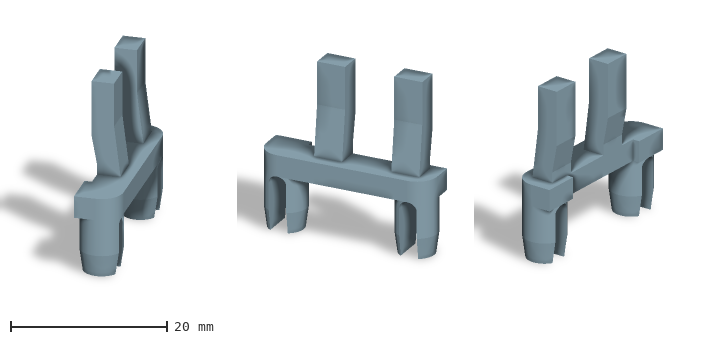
import cadquery as cq

bar_length = 24.4
bar_width = 5.8
bar_bottom = 8.0
bar_height = 3.0
bar_top = bar_bottom + bar_height
end_radius = bar_width / 2

end_block_length = 5.1
recess_depth = 1.0
recess_length = bar_length - 2 * end_block_length
recess_x = recess_depth - bar_width / 2

leg_radius = end_radius
leg_tip_radius = 2.5
leg_taper_height = 3.0
leg_offset = bar_length / 2 - leg_radius
slot_width = 2.5

part_height = 24.0
arm_width = 4.0
arm_centers_y = (8.25, -2.75)
arm_top_thickness = 3.0
arm_foot_thickness = 3.15
arm_crank = 0.72
arm_top_x = recess_x - arm_crank
back_crank_start = 12.5
back_crank_end = 16.4
front_crank_end = 18.0


def make_bar():
    bar = (
        cq.Workplane("XY", origin=(0, 0, bar_bottom))
        .rect(bar_width, bar_length)
        .extrude(bar_height)
        .edges("|Z and >X")
        .fillet(end_radius)
    )
    recess = (
        cq.Workplane("XY", origin=(-bar_width / 2 + recess_depth / 2, 0, bar_bottom))
        .rect(recess_depth, recess_length)
        .extrude(bar_height)
    )
    return bar.cut(recess)


def make_leg(center_y):
    leg = (
        cq.Workplane("XZ")
        .lineTo(leg_tip_radius, 0)
        .lineTo(leg_radius, leg_taper_height)
        .lineTo(leg_radius, bar_bottom)
        .lineTo(0, bar_bottom)
        .close()
        .revolve(360, (0, 0, 0), (0, 1, 0))
    )
    half_slot = slot_width / 2
    slot = (
        cq.Workplane("YZ")
        .moveTo(-half_slot, 0)
        .lineTo(half_slot, 0)
        .lineTo(half_slot, bar_bottom - half_slot)
        .threePointArc((0, bar_bottom), (-half_slot, bar_bottom - half_slot))
        .close()
        .extrude(leg_radius, both=True)
    )
    return leg.cut(slot).translate((0, center_y, 0))


def make_arm(center_y):
    profile = [
        (recess_x, bar_top),
        (recess_x + arm_foot_thickness, bar_top),
        (arm_top_x + arm_top_thickness, front_crank_end),
        (arm_top_x + arm_top_thickness, part_height),
        (arm_top_x, part_height),
        (arm_top_x, back_crank_end),
        (recess_x, back_crank_start),
    ]
    arm = cq.Workplane("XZ").polyline(profile).close().extrude(arm_width / 2, both=True)
    return arm.translate((0, center_y, 0))


result = make_bar()
for leg_y in (-leg_offset, leg_offset):
    result = result.union(make_leg(leg_y))
for arm_y in arm_centers_y:
    result = result.union(make_arm(arm_y))